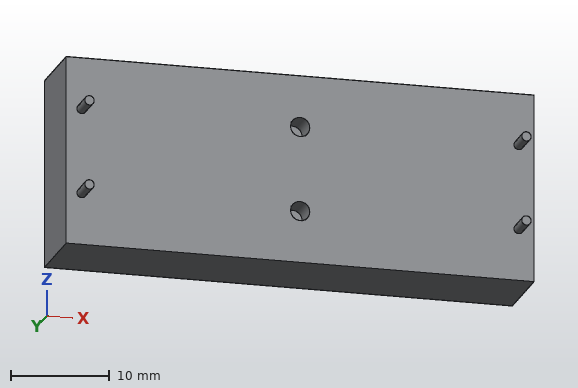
import cadquery as cq

length = 49.0
height = 19.8
overall_depth = 11.4
pin_length = 3.0
block_depth = overall_depth - pin_length

row_spacing = 8.9
pin_diameter = 1.0
pin_end_inset = 1.6
pin_spacing = length - 2 * pin_end_inset
hole_diameter = 2.0
hole_depth = 3.0


def front_cylinders(points, diameter, extent):
    """Cylinders from the front face at y = 0; positive extent points toward -Y."""
    return cq.Workplane("XZ").pushPoints(points).circle(diameter / 2).extrude(extent)


rows = (-row_spacing / 2, row_spacing / 2)
pin_points = [(x, z) for x in (-pin_spacing / 2, pin_spacing / 2) for z in rows]
hole_points = [(0, z) for z in rows]

block = cq.Workplane("XZ").rect(length, height).extrude(-block_depth)
pins = front_cylinders(pin_points, pin_diameter, pin_length)
holes = front_cylinders(hole_points, hole_diameter, -hole_depth)

result = block.union(pins).cut(holes)